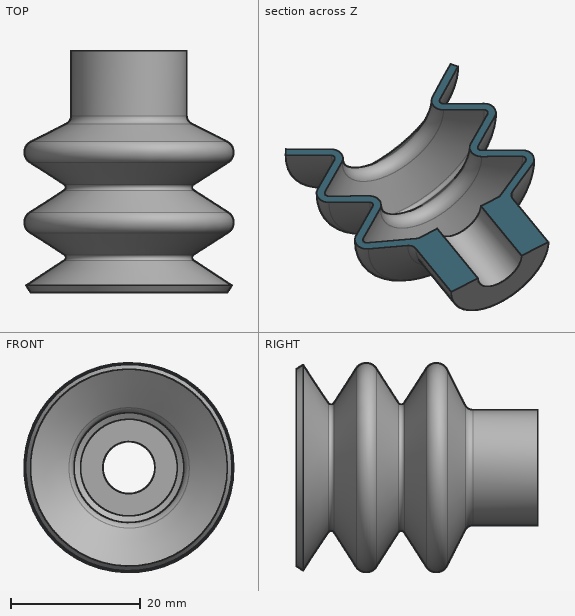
import cadquery as cq
import math


total_length = 37.5
bellows_diameter = 32.5
neck_diameter = 19.65
sleeve_diameter = 18.0
bore_diameter = 8.02
lip_edge_diameter = 30.52
floor_diameter = 15.0
wall = 1.3

first_neck_height = 5.45
half_pitch = 5.45
collar_height = 27.38

crest_round = 1.88
neck_round = 0.52
collar_round = 1.3


def crest(height):
    return (bellows_diameter / 2 - crest_round, height, crest_round)


def waist(diameter, height, round_radius):
    return (diameter / 2 + round_radius, height, -round_radius)


lip_edge = (lip_edge_diameter / 2, 0.0, wall)
bends = [
    lip_edge,
    waist(neck_diameter, first_neck_height, neck_round),
    crest(first_neck_height + half_pitch),
    waist(neck_diameter, first_neck_height + 2 * half_pitch, neck_round),
    crest(first_neck_height + 3 * half_pitch),
    waist(sleeve_diameter, collar_height, collar_round),
]


def cone_normal(start, end):
    """Outward unit normal of the straight wall tangent to two neighbouring bends."""
    run_r = end[0] - start[0]
    run_y = end[1] - start[1]
    lean = math.acos((start[2] - end[2]) / math.hypot(run_r, run_y))
    angle = math.atan2(run_y, run_r) - lean
    return (math.cos(angle), math.sin(angle))


def tangent_point(bend, normal, depth):
    """Point where a straight wall meets a bend, at a depth below the outer surface."""
    reach = bend[2] - depth
    return (bend[0] + reach * normal[0], bend[1] + reach * normal[1])


def cone_lines(depth):
    """Start and end points of every straight wall, from the lip to the collar."""
    lines = []
    for start, end in zip(bends, bends[1:]):
        normal = cone_normal(start, end)
        lines.append((tangent_point(start, normal, depth), tangent_point(end, normal, depth)))
    return lines


def bellows_outline(lines):
    """Straight walls joined by tangent arcs."""
    outline = cq.Workplane("XY").moveTo(*lines[0][0]).lineTo(*lines[0][1])
    for start, end in lines[1:]:
        outline = outline.tangentArcPoint(start, relative=False).lineTo(*end)
    return outline


def revolve_about_y(outline):
    return outline.close().revolve(360, (0, 0, 0), (0, 1, 0))


def outer_body():
    outline = (
        bellows_outline(cone_lines(0.0))
        .tangentArcPoint((sleeve_diameter / 2, collar_height), relative=False)
        .lineTo(sleeve_diameter / 2, total_length)
        .lineTo(0, total_length)
        .lineTo(0, 0)
        .lineTo(lip_edge[0], lip_edge[1])
    )
    return revolve_about_y(outline)


def cavity():
    lines = cone_lines(wall)
    (start_r, start_y), (end_r, end_y) = lines[-1]
    floor_radius = floor_diameter / 2
    floor_height = start_y + (end_y - start_y) * (floor_radius - start_r) / (end_r - start_r)
    lines[-1] = ((start_r, start_y), (floor_radius, floor_height))
    outline = bellows_outline(lines).lineTo(0, floor_height).lineTo(0, 0)
    return revolve_about_y(outline)


def bore():
    return cq.Workplane("XZ").circle(bore_diameter / 2).extrude(-total_length)


result = outer_body().cut(cavity()).cut(bore())